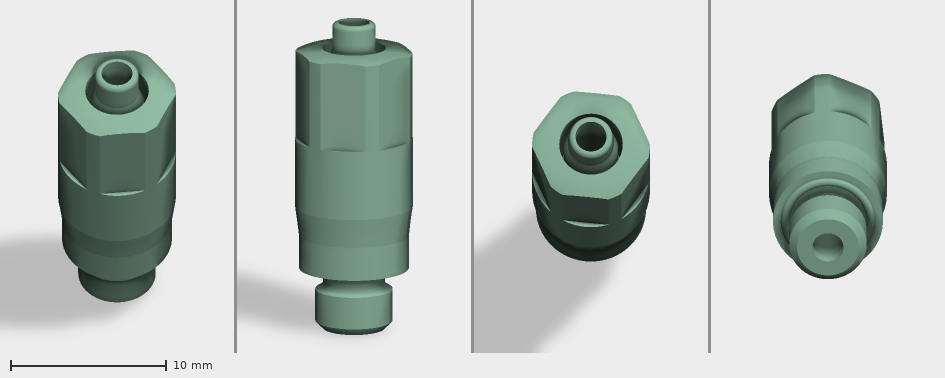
import cadquery as cq
import math


stem_height = 20.3
bore_dia = 2.0
thread_dia = 5.0
thread_chamfer = 0.5
thread_top = 2.6
neck_dia = 4.0
relief_angle = math.radians(60)
relief_fillet = 0.4
shank_dia = 3.5
barb_base = 17.5
barb_top = 18.5
tube_dia = 2.8
tube_fillet = 0.3

collar_dia = 7.1
collar_bottom = 4.0
collar_top = 5.6
groove_inner_dia = 4.96
groove_outer_dia = 6.1

seal_mean_dia = (groove_inner_dia + groove_outer_dia) / 2
seal_section_dia = (groove_outer_dia - groove_inner_dia) / 2
seal_protrusion = 0.19
groove_depth = seal_section_dia - seal_protrusion

nut_dia = 7.6
flare_bottom = 6.2
flare_top = 8.1
hex_across_flats = 7.0
hex_bottom = 12.6
nut_top = 18.6
recess_dia = 4.1
recess_floor = hex_bottom
dome_radius = 5.5


def turned(half_section):
    """Revolve a closed XZ half section, drawn on the +X side, about the Z axis."""
    return half_section.close().revolve(360, (0, 0, 0), (0, 1, 0))


def make_stem():
    bore_r = bore_dia / 2
    thread_r = thread_dia / 2
    neck_r = neck_dia / 2
    shank_r = shank_dia / 2
    tube_r = tube_dia / 2

    cone_r = neck_r + relief_fillet * (1 - math.cos(relief_angle))
    cone_top = thread_top + (thread_r - cone_r) / math.tan(relief_angle)
    fillet_top = cone_top + relief_fillet * math.sin(relief_angle)
    middle_r = neck_r + relief_fillet * (1 - math.cos(relief_angle / 2))
    middle_z = fillet_top - relief_fillet * math.sin(relief_angle / 2)

    half_section = (
        cq.Workplane("XZ")
        .moveTo(bore_r, 0)
        .lineTo(thread_r - thread_chamfer, 0)
        .lineTo(thread_r, thread_chamfer)
        .lineTo(thread_r, thread_top)
        .lineTo(cone_r, cone_top)
        .threePointArc((middle_r, middle_z), (neck_r, fillet_top))
        .lineTo(neck_r, collar_top)
        .lineTo(shank_r, collar_top)
        .lineTo(shank_r, barb_base)
        .lineTo(tube_r, barb_top)
        .lineTo(tube_r, stem_height - tube_fillet)
        .radiusArc((tube_r - tube_fillet, stem_height), -tube_fillet)
        .lineTo(bore_r, stem_height)
    )
    return turned(half_section)


def make_collar():
    groove_floor = collar_bottom + groove_depth
    half_section = (
        cq.Workplane("XZ")
        .moveTo(neck_dia / 2, collar_bottom)
        .lineTo(groove_inner_dia / 2, collar_bottom)
        .lineTo(groove_inner_dia / 2, groove_floor)
        .lineTo(groove_outer_dia / 2, groove_floor)
        .lineTo(groove_outer_dia / 2, collar_bottom)
        .lineTo(collar_dia / 2, collar_bottom)
        .lineTo(collar_dia / 2, collar_top)
        .lineTo(neck_dia / 2, collar_top)
    )
    return turned(half_section)


def make_seal():
    section_r = seal_section_dia / 2
    center_z = collar_bottom - seal_protrusion + section_r
    torus = cq.Solid.makeTorus(seal_mean_dia / 2, section_r, cq.Vector(0, 0, center_z))
    return cq.Workplane(torus)


def make_nut():
    nut_r = nut_dia / 2
    recess_r = recess_dia / 2

    dome_width = nut_r - recess_r
    dome_edge = nut_top - dome_radius + math.sqrt(dome_radius**2 - dome_width**2)

    half_section = (
        cq.Workplane("XZ")
        .moveTo(shank_dia / 2, collar_top)
        .lineTo(collar_dia / 2, collar_top)
        .lineTo(collar_dia / 2, flare_bottom)
        .lineTo(nut_r, flare_top)
        .lineTo(nut_r, dome_edge)
        .radiusArc((recess_r, nut_top), -dome_radius)
        .lineTo(recess_r, recess_floor)
        .lineTo(shank_dia / 2, recess_floor)
    )

    hex_corner_dia = hex_across_flats / math.cos(math.pi / 6)
    waste = (
        cq.Workplane("XY", origin=(0, 0, hex_bottom))
        .circle(nut_dia)
        .extrude(nut_top - hex_bottom)
    )
    hexagon = (
        cq.Workplane("XY", origin=(0, 0, hex_bottom))
        .transformed(rotate=(0, 0, 30))
        .polygon(6, hex_corner_dia)
        .extrude(nut_top - hex_bottom)
    )
    return turned(half_section).cut(waste.cut(hexagon)).solids()


stem = make_stem()
collar = make_collar()
seal = make_seal()
nut = make_nut()

result = cq.Compound.makeCompound([stem.val(), collar.val(), seal.val(), nut.val()])